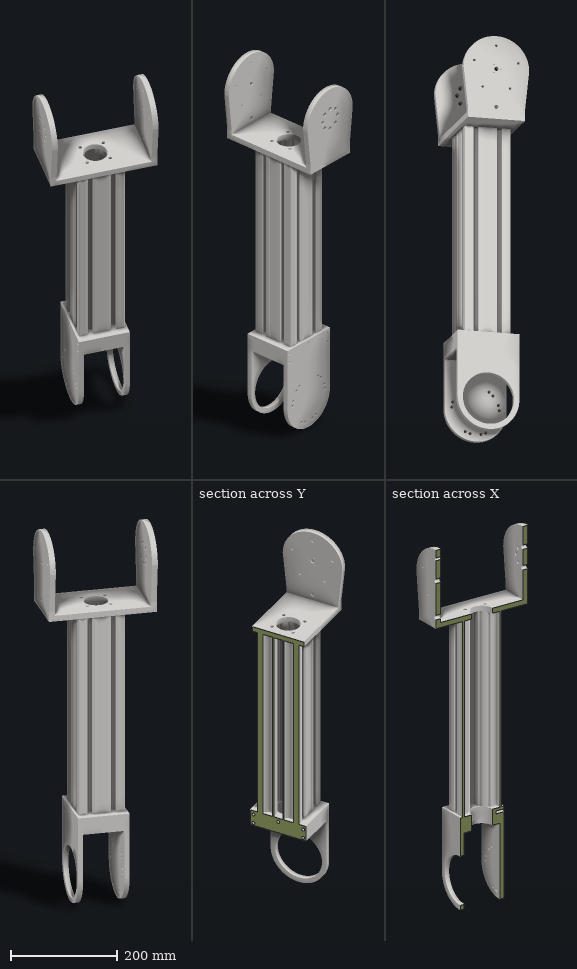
import cadquery as cq
import math

overall_length = 753.0
top_z = overall_length / 2
bottom_z = -top_z

clearance = 7.5

column_offset_y = -1.0

profile_side = 90.0
profile_corner_radius = 2.0
slot_pitch = 45.0
slot_mouth_width = 18.0
slot_step_width = 13.5
slot_opening_width = 10.0
slot_step_depth = 1.0
slot_lip_depth = 4.5
slot_cavity_width = 19.5
slot_cavity_depth = 10.5
slot_floor_width = 6.0
slot_floor_depth = 14.0
slot_groove_width = 2.0
slot_groove_depth = 15.0
panel_width = 16.0
panel_recess = 0.4
cavity_side = 51.0
cavity_arm_width = 18.0
cavity_arm_length = 80.0
core_boss_diameter = 18.0

bore_diameter = 47.0
core_diameter = 7.0

upper_height = 162.0
upper_span = 209.0
upper_plate = 11.0
upper_diameter = 128.0
upper_base_width = 111.5
upper_kink_height = 20.0
upper_pivot_z = top_z - upper_diameter / 2
upper_base_z = top_z - upper_height
flange_circle_diameter = 42.0
flange_hole_diameter = 8.0
flange_hole_count = 8
bearing_circle_diameter = 90.0
bearing_hole_diameter = 5.0
bearing_hole_count = 5
cable_hole_diameter = 8.0
cable_hole_drop = 74.5
centre_hole_diameter = 8.0
pin_circle_diameter = 18.0
pin_hole_diameter = 1.8
pin_angles = (60, 180, 300)

lower_height = 190.0
lower_span = 100.0
lower_plate = 10.0
lower_width = 120.5
lower_block_height = 34.0
lower_pivot_z = bottom_z + lower_width / 2
lower_top_z = bottom_z + lower_height
ring_opening_diameter = 100.0
motor_circle_diameter = 93.0
motor_hole_diameter = 6.0
motor_group_angles = (30, 150, 270)
motor_hole_offsets = (-25.5, -13, 13, 25.5)
screw_hole_diameter = 5.0
screw_hole_depth = 18.0
screw_side_x = 53.5
screw_top_drop = 9.0
screw_row_gap = 19.0


def box(width, depth, z_low, z_high):
    """Box centred on the Z axis between two heights."""
    return cq.Workplane("XY").workplane(offset=z_low).rect(width, depth).extrude(z_high - z_low)


def y_holes(points, diameter, y_front, depth):
    """Cylinders along +Y that start at y_front, at the given (x, z) points."""
    plane = cq.Workplane("XZ", origin=(0, y_front, 0))
    return plane.pushPoints(points).circle(diameter / 2).extrude(-depth)


def circle_points(diameter, angles, centre_z):
    """Points on a circle in the XZ plane, angles in degrees from +X."""
    radius = diameter / 2
    return [
        (radius * math.cos(math.radians(a)), centre_z + radius * math.sin(math.radians(a)))
        for a in angles
    ]


def evenly_spaced(count):
    """Angles of equally spaced holes, the first one at the top."""
    return [90 + 360 * i / count for i in range(count)]


def slot_cutter(length):
    """T-slot opening on the -Y face of the profile, centred on x = 0."""
    half_outline = [
        (slot_mouth_width / 2, 0),
        (slot_step_width / 2, slot_step_depth),
        (slot_opening_width / 2, slot_step_depth),
        (slot_opening_width / 2, slot_lip_depth),
        (slot_cavity_width / 2, slot_lip_depth),
        (slot_cavity_width / 2, slot_cavity_depth),
        (slot_floor_width / 2, slot_floor_depth),
        (slot_groove_width / 2, slot_floor_depth),
        (slot_groove_width / 2, slot_groove_depth),
    ]
    mirrored = [(-x, depth) for x, depth in reversed(half_outline)]
    outline = [(x, depth - profile_side / 2) for x, depth in half_outline + mirrored]
    return cq.Workplane("XY").polyline(outline).close().extrude(length)


def profile_cavity(length):
    """Square hollow with four arms, its corners rounded inwards by the screw core bosses."""
    square = box(cavity_side, cavity_side, 0, length)
    arms = box(cavity_arm_length, cavity_arm_width, 0, length)
    arms = arms.union(box(cavity_arm_width, cavity_arm_length, 0, length))
    cores = cq.Workplane("XY").rect(slot_pitch, slot_pitch, forConstruction=True).vertices()
    bosses = cores.circle(core_boss_diameter / 2).extrude(length)
    return square.union(arms).cut(bosses)


def profile():
    length = upper_base_z - lower_top_z
    body = box(profile_side, profile_side, 0, length).edges("|Z").fillet(profile_corner_radius)
    slot = slot_cutter(length)
    panel = box(panel_width, 2 * panel_recess, 0, length).translate((0, -profile_side / 2, 0))
    for side in range(4):
        for x in (-slot_pitch / 2, slot_pitch / 2):
            body = body.cut(slot.translate((x, 0, 0)).rotate((0, 0, 0), (0, 0, 1), 90 * side))
        body = body.cut(panel.rotate((0, 0, 0), (0, 0, 1), 90 * side))
    return body.cut(profile_cavity(length)).translate((0, 0, lower_top_z))


def upper_fork():
    radius = upper_diameter / 2
    half_base = upper_base_width / 2
    kink_z = upper_base_z + upper_kink_height
    body = (
        cq.Workplane("XZ", origin=(0, upper_span / 2, 0))
        .moveTo(-half_base, upper_base_z)
        .lineTo(half_base, upper_base_z)
        .lineTo(half_base, kink_z)
        .lineTo(radius, upper_pivot_z)
        .threePointArc((0, top_z), (-radius, upper_pivot_z))
        .lineTo(-half_base, kink_z)
        .close()
        .extrude(upper_span)
    )
    gap = box(2 * upper_diameter, upper_span - 2 * upper_plate, upper_base_z + upper_plate, top_z + clearance)
    body = body.cut(gap)

    front_y = -upper_span / 2
    flange = circle_points(flange_circle_diameter, evenly_spaced(flange_hole_count), upper_pivot_z)
    body = body.cut(y_holes(flange, flange_hole_diameter, front_y, upper_plate))

    rear_y = upper_span / 2 - upper_plate
    bearing = circle_points(bearing_circle_diameter, evenly_spaced(bearing_hole_count), upper_pivot_z)
    pins = circle_points(pin_circle_diameter, pin_angles, upper_pivot_z)
    rear_holes = (
        (bearing, bearing_hole_diameter),
        (pins, pin_hole_diameter),
        ([(0, upper_pivot_z)], centre_hole_diameter),
        ([(0, upper_pivot_z - cable_hole_drop)], cable_hole_diameter),
    )
    for points, diameter in rear_holes:
        body = body.cut(y_holes(points, diameter, rear_y, upper_plate))
    return body


def lower_fork():
    half_width = lower_width / 2
    body = (
        cq.Workplane("XZ", origin=(0, lower_span / 2, 0))
        .moveTo(-half_width, lower_top_z)
        .lineTo(half_width, lower_top_z)
        .lineTo(half_width, lower_pivot_z)
        .threePointArc((0, bottom_z), (-half_width, lower_pivot_z))
        .close()
        .extrude(lower_span)
    )
    block_z = lower_top_z - lower_block_height
    body = body.cut(box(2 * lower_width, lower_span - 2 * lower_plate, bottom_z - clearance, block_z))

    rear_y = lower_span / 2 - lower_plate
    body = body.cut(y_holes([(0, lower_pivot_z)], ring_opening_diameter, rear_y, lower_plate))

    front_y = -lower_span / 2
    motor_angles = [group + offset for group in motor_group_angles for offset in motor_hole_offsets]
    motor = circle_points(motor_circle_diameter, motor_angles, lower_pivot_z)
    body = body.cut(y_holes(motor, motor_hole_diameter, front_y, lower_plate))

    first_row = lower_top_z - screw_top_drop
    screws = [(x, first_row) for x in (-screw_side_x, 0, screw_side_x)]
    screws += [(x, first_row - screw_row_gap) for x in (-screw_side_x, screw_side_x)]
    return body.cut(y_holes(screws, screw_hole_diameter, front_y, screw_hole_depth))


def axial_holes():
    base = cq.Workplane("XY").workplane(offset=bottom_z)
    bore = base.circle(bore_diameter / 2).extrude(overall_length)
    cores = base.rect(slot_pitch, slot_pitch, forConstruction=True).vertices()
    return bore.union(cores.circle(core_diameter / 2).extrude(overall_length))


column = profile().union(lower_fork()).translate((0, column_offset_y, 0))
bores = axial_holes().translate((0, column_offset_y, 0))
result = upper_fork().union(column).cut(bores)